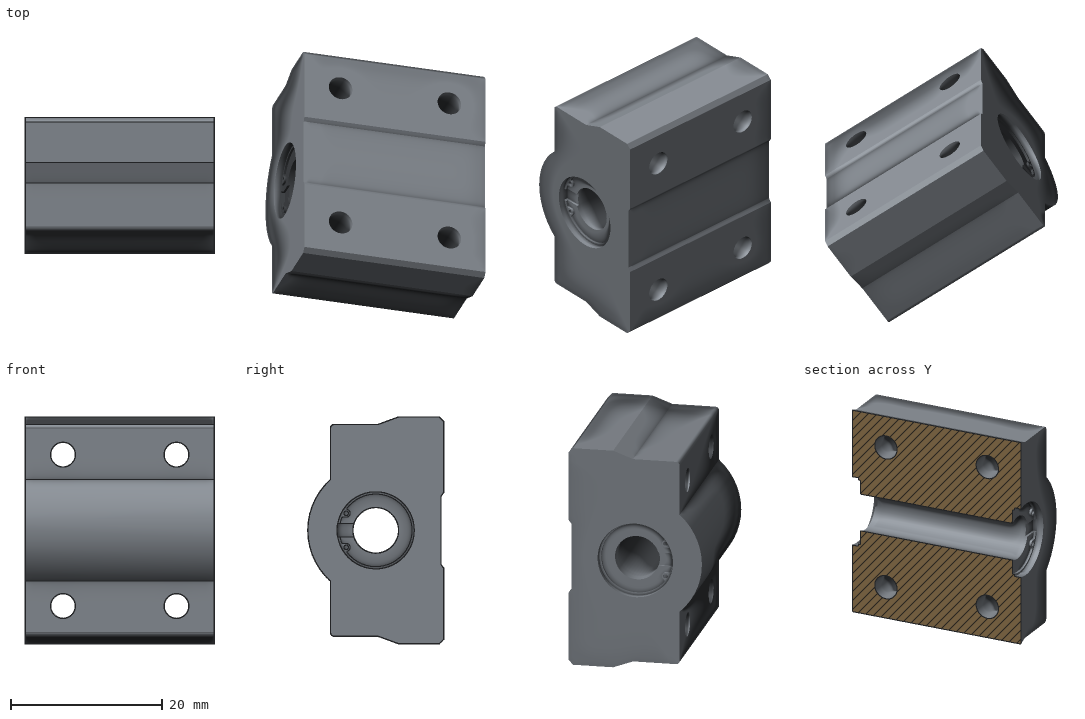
import cadquery as cq
import math

length = 25.0
height = 30.0
back_y = 9.0
barrel_radius = 9.0
flange_y = -6.0
flange_half_height = 14.0
slope_back_y = 3.0
slope_front_y = 0.3
back_chamfer = 0.6
front_fillet = 0.5
relief_depth = 0.35
relief_outer_half = 5.0
relief_inner_half = 4.5

bolt_diameter = 3.25
bolt_spacing_x = 15.0
bolt_spacing_z = 20.0

bore_diameter = 6.0
seat_diameter = 10.2
bearing_depth = 1.23
ring_thickness = 0.3
ring_inner_radius = 4.8
lug_y = -3.9
lug_z = 2.25
lug_radius = 0.5
lug_side_y = -3.78
lug_hole_diameter = 0.6
lug_fillet = 0.2

notch_width = 1.8
notch_depth = 0.3

half_length = length / 2
seat_radius = seat_diameter / 2
bearing_face_x = -half_length + bearing_depth


def make_block():
    """Extrude the end profile of the block along X."""
    top = height / 2
    barrel_edge_z = math.sqrt(barrel_radius**2 - flange_y**2)
    upper = [
        (back_y - relief_depth, relief_inner_half),
        (back_y, relief_outer_half),
        (back_y, top - back_chamfer),
        (back_y - back_chamfer, top),
        (slope_back_y, top),
        (slope_front_y, flange_half_height),
        (flange_y, flange_half_height),
        (flange_y, barrel_edge_z),
    ]
    lower = [(y, -z) for y, z in reversed(upper)]
    profile = cq.Workplane("YZ", origin=(-half_length, 0, 0)).polyline(upper)
    profile = profile.threePointArc((-barrel_radius, 0), lower[0])
    for point in lower[1:]:
        profile = profile.lineTo(*point)
    block = profile.close().extrude(length)
    for side in (1, -1):
        corner = cq.selectors.NearestToPointSelector((0, flange_y, side * flange_half_height))
        block = block.edges("|X").edges(corner).fillet(front_fillet)
    return block


def make_bolt_holes():
    return (
        cq.Workplane("XZ", origin=(0, back_y, 0))
        .rarray(bolt_spacing_x, bolt_spacing_z, 2, 2)
        .circle(bolt_diameter / 2)
        .extrude(back_y + barrel_radius)
    )


def make_ring():
    """Retaining ring in front of the bearing face at the -X end."""
    plane = cq.Workplane("YZ", origin=(bearing_face_x - ring_thickness, 0, 0))
    ring = plane.circle(seat_radius).circle(ring_inner_radius).extrude(ring_thickness)
    envelope = plane.circle(seat_radius).extrude(ring_thickness)
    for side in (1, -1):
        center_z = side * lug_z
        tip = plane.center(lug_y, center_z).circle(lug_radius).extrude(ring_thickness)
        outer_y = -seat_radius
        inner_z = center_z - side * lug_radius
        web = (
            plane.moveTo(lug_y, inner_z)
            .lineTo(outer_y, inner_z)
            .lineTo(outer_y, side * seat_radius)
            .lineTo(lug_side_y, side * seat_radius)
            .lineTo(lug_side_y, center_z)
            .lineTo(lug_y, center_z)
            .close()
            .extrude(ring_thickness)
        )
        ring = ring.union(tip).union(web.intersect(envelope))
    root_z = lug_z - lug_radius
    root_y = -math.sqrt(ring_inner_radius**2 - root_z**2)
    for side in (1, -1):
        root = (bearing_face_x - ring_thickness / 2, root_y, side * root_z)
        corner = cq.selectors.NearestToPointSelector(root)
        ring = ring.edges("|X").edges(corner).fillet(lug_fillet)
    holes = (
        plane.pushPoints([(lug_y, lug_z), (lug_y, -lug_z)])
        .circle(lug_hole_diameter / 2)
        .extrude(ring_thickness)
    )
    return ring.cut(holes)


def make_seat_cut():
    """Open seat and bearing notch at the -X end, leaving the ring in place."""
    seat = cq.Workplane("YZ", origin=(-half_length, 0, 0)).circle(seat_radius).extrude(bearing_depth)
    notch_length = ring_thickness + notch_depth
    notch = cq.Workplane().box(notch_length, seat_radius, notch_width, centered=(False, False, True))
    notch = notch.translate((bearing_face_x - ring_thickness, -seat_radius, 0))
    return seat.cut(make_ring()).union(notch)


seat_cut = make_seat_cut()
bore = cq.Workplane("YZ", origin=(-half_length, 0, 0)).circle(bore_diameter / 2).extrude(length)

result = (
    make_block()
    .cut(make_bolt_holes())
    .cut(bore)
    .cut(seat_cut)
    .cut(seat_cut.mirror("YZ"))
)